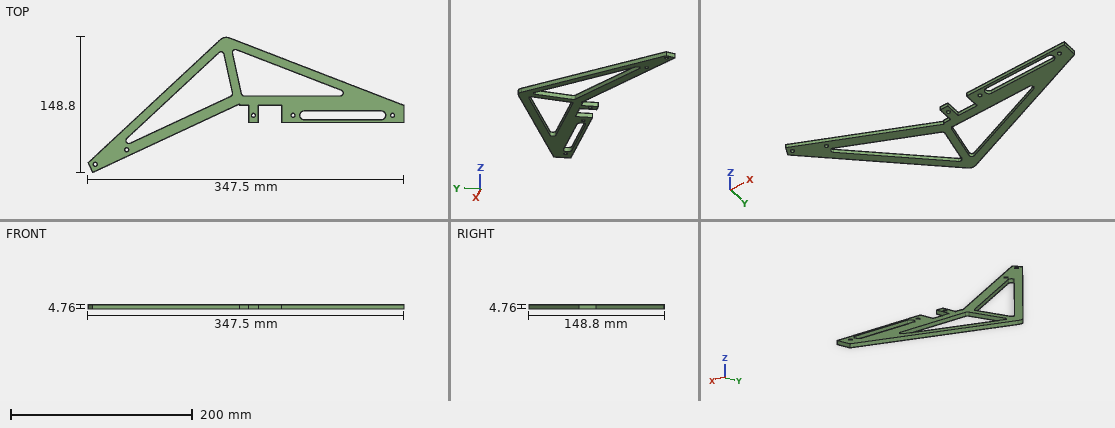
import cadquery as cq
import math

plate_thickness = 4.76

rail_length = 134.62
rail_height = 19.05
tab_width = 10.6
tab_gap = 25.8

bend_step = 1.5
bend = (-46.25, rail_height + bend_step)
arm_angle = 25.0
arm_length = 178.35
arm_width = 11.9

apex = (-63.1, 95.5)
apex_radius = 9.525

upper_bar_width = 9.525
strut_width = 9.6
strut_angle = -77.7
rail_bar_width = 10.4
opening_radius = 3.175

hole_diameter = 4.2
hole_height = 8.1
rail_hole_first = 12.4
rail_hole_spacing = 109.4
slot_start = 19.9
slot_length = 94.3
slot_width = 9.525
arm_hole_spacing = 38.1
arm_hole_inset = 6.35
arm_hole_offset = 6.95


def along(start, angle, distance, sideways=0.0):
    """Point at a distance from start in the angle's direction, shifted sideways to the left of it."""
    cos_a = math.cos(math.radians(angle))
    sin_a = math.sin(math.radians(angle))
    return (
        start[0] + distance * cos_a - sideways * sin_a,
        start[1] + distance * sin_a + sideways * cos_a,
    )


def angle_between(start, end):
    """Direction in degrees from start to end."""
    return math.degrees(math.atan2(end[1] - start[1], end[0] - start[0]))


def offset_line(point, angle, sideways):
    """Line (point, angle) parallel to the given one, moved to its left."""
    return along(point, angle, 0.0, sideways), angle


def intersection(line_a, line_b):
    """Crossing point of two (point, angle) lines."""
    (ax, ay), angle_a = line_a
    (bx, by), angle_b = line_b
    dir_b = (math.cos(math.radians(angle_b)), math.sin(math.radians(angle_b)))
    turn = math.sin(math.radians(angle_b - angle_a))
    distance = ((bx - ax) * dir_b[1] - (by - ay) * dir_b[0]) / turn
    return along((ax, ay), angle_a, distance)


arm_end_low = along(bend, arm_angle, -arm_length)
arm_end_high = along(arm_end_low, arm_angle, 0.0, arm_width)
rail_end_high = (rail_length, rail_height)
tab_right = -tab_gap
tab_left = tab_right - tab_width


def make_plate():
    """Solid outer shape with the rounded peak."""
    outline = [
        (0.0, 0.0),
        (rail_length, 0.0),
        rail_end_high,
        apex,
        arm_end_high,
        arm_end_low,
        bend,
        (bend[0], rail_height),
        (tab_left, rail_height),
        (tab_left, 0.0),
        (tab_right, 0.0),
        (tab_right, rail_height),
        (0.0, rail_height),
    ]
    plate = cq.Workplane("XY").polyline(outline).close().extrude(plate_thickness)
    peak_edge = cq.selectors.NearestToPointSelector((apex[0], apex[1], plate_thickness / 2))
    return plate.edges("|Z").edges(peak_edge).fillet(apex_radius)


def make_opening(lines):
    """Triangular cutter bounded by three lines, with rounded corners."""
    corners = [intersection(lines[i], lines[(i + 1) % 3]) for i in range(3)]
    cutter = cq.Workplane("XY").polyline(corners).close().extrude(plate_thickness)
    return cutter.edges("|Z").fillet(opening_radius)


def make_arm_opening():
    """Opening between the arm, the left upper bar and the strut."""
    return make_opening([
        offset_line(bend, arm_angle, arm_width),
        offset_line(apex, strut_angle, -strut_width / 2),
        offset_line(apex, angle_between(arm_end_high, apex), -upper_bar_width),
    ])


def make_rail_opening():
    """Opening between the rail, the right upper bar and the strut."""
    return make_opening([
        offset_line(rail_end_high, 0.0, rail_bar_width),
        offset_line(apex, angle_between(apex, rail_end_high), -upper_bar_width),
        offset_line(apex, strut_angle, strut_width / 2),
    ])


def make_holes():
    """Screw holes in the tab, the rail and the arm."""
    centres = [
        ((tab_left + tab_right) / 2, hole_height),
        (rail_hole_first, hole_height),
        (rail_hole_first + rail_hole_spacing, hole_height),
        along(arm_end_low, arm_angle, arm_hole_inset, arm_hole_offset),
        along(arm_end_low, arm_angle, arm_hole_inset + arm_hole_spacing, arm_hole_offset),
    ]
    return cq.Workplane("XY").pushPoints(centres).circle(hole_diameter / 2).extrude(plate_thickness)


def make_slot():
    """Long round-ended slot in the rail."""
    slot_centre = (slot_start + slot_length / 2, hole_height)
    return cq.Workplane("XY").center(*slot_centre).slot2D(slot_length, slot_width).extrude(plate_thickness)


result = make_plate()
for cutter in (make_arm_opening(), make_rail_opening(), make_holes(), make_slot()):
    result = result.cut(cutter)